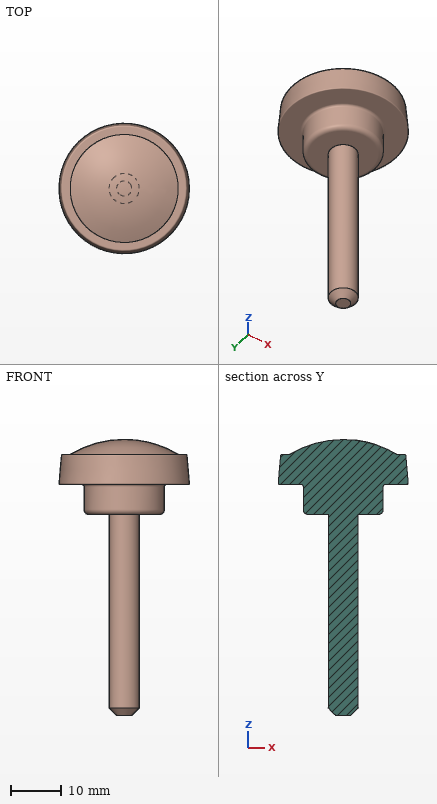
import cadquery as cq
import math

OVERALL_LENGTH = 55.0

SHANK_DIAMETER = 6.0
SHANK_LENGTH = 40.0
TIP_CHAMFER = 1.5

COLLAR_DIAMETER = 16.0
COLLAR_HEIGHT = 6.0
COLLAR_EDGE_RADIUS = 1.0
COLLAR_ROOT_RADIUS = 0.5

RIM_BOTTOM_DIAMETER = 26.03
RIM_TOP_DIAMETER = 25.0
RIM_HEIGHT = 6.0
RIM_TOP_EDGE_RADIUS = 0.3
RIM_BOTTOM_EDGE_RADIUS = 0.2

DOME_DIAMETER = 21.5
DOME_HEIGHT = OVERALL_LENGTH - SHANK_LENGTH - COLLAR_HEIGHT - RIM_HEIGHT

RIM_BOTTOM_Z = COLLAR_HEIGHT
RIM_TOP_Z = RIM_BOTTOM_Z + RIM_HEIGHT


def make_shank():
    """Plain round shank with a chamfered tip, hanging below the collar."""
    shank = cq.Workplane("XY").circle(SHANK_DIAMETER / 2).extrude(-SHANK_LENGTH)
    return shank.faces("<Z").chamfer(TIP_CHAMFER)


def make_collar():
    """Round collar with a rounded lower edge."""
    collar = cq.Workplane("XY").circle(COLLAR_DIAMETER / 2).extrude(COLLAR_HEIGHT)
    return collar.faces("<Z").edges().fillet(COLLAR_EDGE_RADIUS)


def make_rim():
    """Tapered rim, wider at the bottom, with softened top and bottom edges."""
    bottom_radius = RIM_BOTTOM_DIAMETER / 2
    top_radius = RIM_TOP_DIAMETER / 2
    profile = (
        cq.Workplane("XZ")
        .moveTo(0, RIM_BOTTOM_Z)
        .lineTo(bottom_radius, RIM_BOTTOM_Z)
        .lineTo(top_radius, RIM_TOP_Z)
        .lineTo(0, RIM_TOP_Z)
        .close()
    )
    rim = profile.revolve(360, (0, 0, 0), (0, 1, 0))
    rim = rim.faces(">Z").edges().fillet(RIM_TOP_EDGE_RADIUS)
    return rim.faces("<Z").edges().fillet(RIM_BOTTOM_EDGE_RADIUS)


def make_root_fillet():
    """Hollow fillet ring filling the corner between the collar and the rim."""
    collar_radius = COLLAR_DIAMETER / 2
    arc_center_radius = collar_radius + COLLAR_ROOT_RADIUS
    arc_center_z = RIM_BOTTOM_Z - COLLAR_ROOT_RADIUS
    arc_offset = COLLAR_ROOT_RADIUS * math.sqrt(0.5)
    arc_middle = (arc_center_radius - arc_offset, arc_center_z + arc_offset)
    profile = (
        cq.Workplane("XZ")
        .moveTo(0, RIM_BOTTOM_Z)
        .lineTo(0, arc_center_z)
        .lineTo(collar_radius, arc_center_z)
        .threePointArc(arc_middle, (arc_center_radius, RIM_BOTTOM_Z))
        .close()
    )
    return profile.revolve(360, (0, 0, 0), (0, 1, 0))


def make_dome():
    """Spherical cap standing on the flat top of the rim."""
    dome_radius = DOME_DIAMETER / 2
    sphere_radius = (dome_radius**2 + DOME_HEIGHT**2) / (2 * DOME_HEIGHT)
    sphere = cq.Workplane("XY").sphere(sphere_radius)
    sphere = sphere.translate((0, 0, RIM_TOP_Z + DOME_HEIGHT - sphere_radius))
    cap_zone = cq.Workplane("XY").workplane(offset=RIM_TOP_Z).circle(dome_radius).extrude(DOME_HEIGHT)
    return sphere.intersect(cap_zone)


result = (
    make_shank()
    .union(make_collar())
    .union(make_root_fillet())
    .union(make_rim())
    .union(make_dome())
)